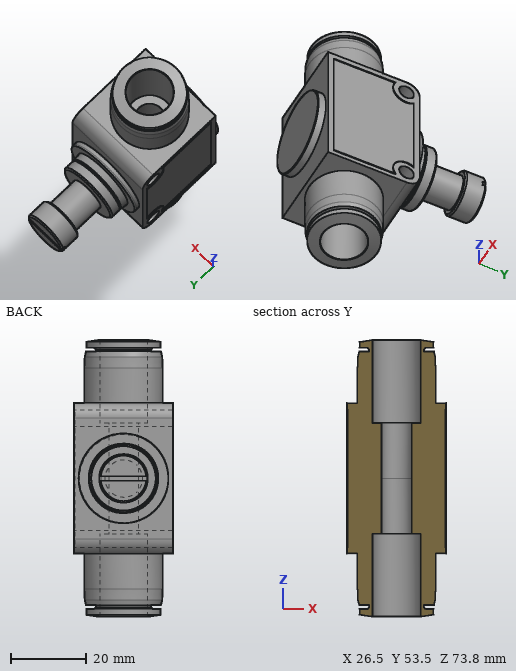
import cadquery as cq

BODY_WIDTH = 26.5
BODY_FRONT = -11.7
BODY_BACK = 15.9
BODY_HALF_HEIGHT = 20.1
CORNER_RADIUS = 4.0

MOUNT_HOLE_DIAMETER = 4.4
MOUNT_Y = BODY_BACK - CORNER_RADIUS
MOUNT_Z = BODY_HALF_HEIGHT - CORNER_RADIUS

PANEL_MARGIN = 1.8
PANEL_DEPTH = 0.2
MOUNT_PAD_RADIUS = 4.0

PORT_END = 36.9
SLEEVE_DIAMETER = 21.0
SLEEVE_TAPER_START = 29.5
SLEEVE_TAPER_DIAMETER = 20.75
SLEEVE_TAPER_END = 32.4
SLEEVE_LIP_DIAMETER = 20.0
SLEEVE_END = 33.8
COLLAR_NECK_DIAMETER = 14.7
COLLAR_SHOULDER_DIAMETER = 15.65
COLLAR_SHOULDER_START = 34.35
COLLAR_DIAMETER = 19.8
COLLAR_START = 34.8
COLLAR_RIM = 36.4
BORE_DIAMETER = 12.7
BORE_MOUTH_DIAMETER = 13.0
BORE_MOUTH_DEPTH = 0.15
BORE_BOTTOM = 14.8
PASSAGE_DIAMETER = 8.0

CAP_DIAMETER = 24.0
CAP_FRONT = -14.0
CAP_CHAMFER = 0.2

FLANGE_BACK = 17.6
FLANGE_BEVEL_LENGTH = 0.5
FLANGE_BEVEL_DEPTH = 0.1
NECK_ROOT_DIAMETER = 18.6
NUT_DIAMETER = 18.0
NUT_GROOVE_DIAMETER = 17.3
NUT_GROOVE_START = 19.7
NUT_START = 20.25
NUT_END = 23.4
STEM_DIAMETER = 10.0
HEAD_DIAMETER = 13.0
HEAD_START = 33.2
HEAD_END = 39.45
SCREW_CHAMFER = 0.45
SLOT_WIDTH = 1.2
SLOT_DEPTH = 1.2


def disc(diameter, start, end):
    """Cylinder on the Y axis between two Y positions."""
    return cq.Workplane("XZ", origin=(0, start, 0)).circle(diameter / 2).extrude(start - end)


def mount_cylinders(radius, start_x, length):
    """Cylinders along X at both mounting hole centres."""
    return (
        cq.Workplane("YZ", origin=(start_x, 0, 0))
        .pushPoints([(MOUNT_Y, MOUNT_Z), (MOUNT_Y, -MOUNT_Z)])
        .circle(radius)
        .extrude(length)
    )


def make_block():
    depth = BODY_BACK - BODY_FRONT
    middle_y = (BODY_BACK + BODY_FRONT) / 2
    block = cq.Workplane("XY").box(BODY_WIDTH, depth, 2 * BODY_HALF_HEIGHT).translate((0, middle_y, 0))
    block = block.edges("|X and >Y").fillet(CORNER_RADIUS)

    panel_length = depth - 2 * PANEL_MARGIN
    panel_height = 2 * (BODY_HALF_HEIGHT - PANEL_MARGIN)
    for start_x in (-BODY_WIDTH / 2, BODY_WIDTH / 2 - PANEL_DEPTH):
        panel = (
            cq.Workplane("YZ", origin=(start_x, middle_y, 0))
            .rect(panel_length, panel_height)
            .extrude(PANEL_DEPTH)
            .cut(mount_cylinders(MOUNT_PAD_RADIUS, start_x, PANEL_DEPTH))
        )
        block = block.cut(panel)
    return block


def make_port():
    """Upper port, turned about Z from the middle of the block to the collar end."""
    return (
        cq.Workplane("XZ")
        .lineTo(SLEEVE_DIAMETER / 2, 0)
        .lineTo(SLEEVE_DIAMETER / 2, SLEEVE_TAPER_START)
        .lineTo(SLEEVE_TAPER_DIAMETER / 2, SLEEVE_TAPER_END)
        .lineTo(SLEEVE_LIP_DIAMETER / 2, SLEEVE_END)
        .lineTo(COLLAR_NECK_DIAMETER / 2, SLEEVE_END)
        .lineTo(COLLAR_NECK_DIAMETER / 2, COLLAR_SHOULDER_START)
        .lineTo(COLLAR_SHOULDER_DIAMETER / 2, COLLAR_START)
        .lineTo(COLLAR_DIAMETER / 2, COLLAR_START)
        .lineTo(COLLAR_DIAMETER / 2, COLLAR_RIM)
        .lineTo(BORE_MOUTH_DIAMETER / 2, PORT_END)
        .lineTo(0, PORT_END)
        .close()
        .revolve(360, (0, 0), (0, 1))
    )


def make_port_bore():
    """Tube socket of the upper port with its bevelled mouth."""
    return (
        cq.Workplane("XZ")
        .moveTo(0, BORE_BOTTOM)
        .lineTo(BORE_DIAMETER / 2, BORE_BOTTOM)
        .lineTo(BORE_DIAMETER / 2, PORT_END - BORE_MOUTH_DEPTH)
        .lineTo(BORE_MOUTH_DIAMETER / 2, PORT_END)
        .lineTo(0, PORT_END)
        .close()
        .revolve(360, (0, 0), (0, 1))
    )


def make_cap():
    return disc(CAP_DIAMETER, CAP_FRONT, 0).faces("<Y").chamfer(CAP_CHAMFER)


def make_screw():
    flange_rim = FLANGE_BACK - FLANGE_BEVEL_LENGTH
    flange = (
        cq.Workplane("XY")
        .lineTo(CAP_DIAMETER / 2, 0)
        .lineTo(CAP_DIAMETER / 2, flange_rim)
        .lineTo(CAP_DIAMETER / 2 - FLANGE_BEVEL_DEPTH, FLANGE_BACK)
        .lineTo(0, FLANGE_BACK)
        .close()
        .revolve(360, (0, 0), (0, 1))
    )
    neck = (
        cq.Workplane("XZ", origin=(0, FLANGE_BACK, 0))
        .circle(NECK_ROOT_DIAMETER / 2)
        .workplane(offset=FLANGE_BACK - NUT_GROOVE_START)
        .circle(NUT_DIAMETER / 2)
        .loft()
    )
    groove_core = disc(NUT_GROOVE_DIAMETER, FLANGE_BACK, NUT_END - SCREW_CHAMFER)
    nut = disc(NUT_DIAMETER, NUT_START, NUT_END).faces(">Y").chamfer(SCREW_CHAMFER)
    stem = disc(STEM_DIAMETER, FLANGE_BACK, HEAD_END - SLOT_DEPTH)
    head = disc(HEAD_DIAMETER, HEAD_START, HEAD_END).faces("<Y or >Y").chamfer(SCREW_CHAMFER)
    slot = cq.Workplane("XY").box(HEAD_DIAMETER, 2 * SLOT_DEPTH, SLOT_WIDTH).translate((0, HEAD_END, 0))
    return flange.union(neck).union(groove_core).union(nut).union(stem).union(head.cut(slot))


port = make_port()
bore = make_port_bore()
passage = cq.Workplane("XY").circle(PASSAGE_DIAMETER / 2).extrude(PORT_END, both=True)
mount_holes = mount_cylinders(MOUNT_HOLE_DIAMETER / 2, -BODY_WIDTH / 2, BODY_WIDTH)

result = make_block().union(make_cap()).union(make_screw())
result = result.union(port).union(port.mirror("XY"))
result = result.cut(bore).cut(bore.mirror("XY")).cut(passage).cut(mount_holes)